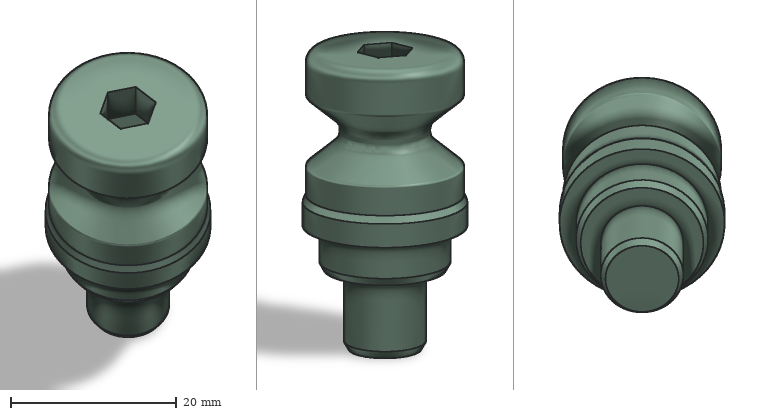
import cadquery as cq
import math

total_height = 37.5
spigot_bottom = 10.0
collar_bottom = 15.5
collar_top = 18.45
body_bottom = 19.4
neck_center = 27.45

collar_diameter = 20.0
collar_radius = collar_diameter / 2
stud_radius = collar_radius / 2
spigot_radius = 8.0
body_radius = 9.6
neck_radius = 5.5

neck_width = 2.0
groove_angle = 40.0
neck_fillet = 1.5
groove_edge_fillet = 0.4

cap_fillet = 1.5
chamfer_height = 1.0
chamfer_inset = 0.55

socket_across_flats = 6.0
socket_depth = 5.0

half_neck = neck_width / 2
flank_height = (body_radius - neck_radius) * math.tan(math.radians(groove_angle))
groove_bottom = neck_center - half_neck - flank_height
groove_top = neck_center + half_neck + flank_height


def turned_body():
    """Revolve the sharp-cornered half profile about Z."""
    profile = [
        (0, 0),
        (stud_radius - chamfer_inset, 0),
        (stud_radius, chamfer_height),
        (stud_radius, spigot_bottom),
        (spigot_radius - chamfer_inset, spigot_bottom),
        (spigot_radius, spigot_bottom + chamfer_height),
        (spigot_radius, collar_bottom),
        (collar_radius, collar_bottom),
        (collar_radius, collar_top),
        (body_radius, body_bottom),
        (body_radius, groove_bottom),
        (neck_radius, neck_center - half_neck),
        (neck_radius, neck_center + half_neck),
        (body_radius, groove_top),
        (body_radius, total_height),
        (0, total_height),
    ]
    return cq.Workplane("XZ").polyline(profile).close().revolve(360, (0, 0), (0, 1))


def round_edge(body, radius, level, fillet):
    """Fillet the circular edge of the given radius at the given level."""
    margin = 0.05
    reach = radius + margin
    selector = cq.selectors.BoxSelector(
        (-reach, -reach, level - margin), (reach, reach, level + margin), boundingbox=True
    )
    return body.edges(selector).edges("%CIRCLE").fillet(fillet)


def drive_socket():
    """Hexagonal prism with two corners on the X axis."""
    across_corners = socket_across_flats / math.cos(math.radians(30))
    return (
        cq.Workplane("XY")
        .workplane(offset=total_height - socket_depth)
        .polygon(6, across_corners)
        .extrude(socket_depth)
    )


result = turned_body()
for side in (-1, 1):
    neck_corner = neck_center + side * half_neck
    result = round_edge(result, neck_radius, neck_corner, neck_fillet)
for groove_edge in (groove_bottom, groove_top):
    result = round_edge(result, body_radius, groove_edge, groove_edge_fillet)
result = round_edge(result, body_radius, total_height, cap_fillet)
result = result.cut(drive_socket())